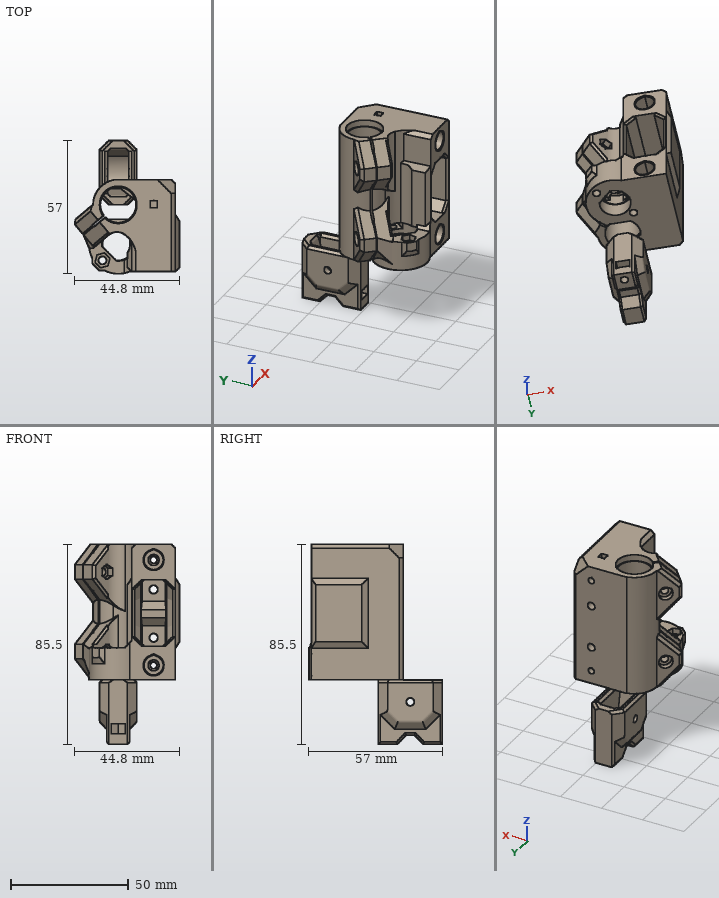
import cadquery as cq
import math

HEIGHT = 58.0
EPS = 0.5
FAR = 100.0

BEARING_OUTER_R = 10.8
BORE_R = 7.6
BORE_LIP_R = 8.0
BORE_LIP_DEPTH = 3.0
LEDGE_DISTANCE = 6.1
LEDGE_HEIGHT = 1.5
LEDGE_ANGLES = (-90.0, 52.0)

BLOCK_CENTRE_X = 15.1
BLOCK_HALF_WIDTH = 9.35
BLOCK_LEFT = BLOCK_CENTRE_X - BLOCK_HALF_WIDTH
BLOCK_RIGHT = BLOCK_CENTRE_X + BLOCK_HALF_WIDTH
BLOCK_FRONT = -28.5
BLOCK_BACK = BEARING_OUTER_R
BLOCK_CHAMFER = 1.8
BACK_CORNER_SUM = 27.5 + HEIGHT

PAD_THICKNESS = 1.8
PAD_BACK = -4.2
PAD_BACK_RUN = 2.85
PAD_BOTTOM = 13.6
PAD_TOP = 43.4
PAD_SLOPE_RUN = 2.75

SCREW_Y = -17.0
RING_R = 12.5
RING_HEIGHT = 13.65
NUT_LOWER_R = 13.4 / 2
NUT_UPPER_R = 14.0 / 2
NUT_STEP_Z = 7.65
NUT_FLAT_DISTANCE = 5.4
NUT_BOLT_RADIUS = 9.5
FRONT_BOLT_ANGLE = 225.0
BOLT_D = 3.3
NUT_TRAP_FLATS = 5.7
NUT_TRAP_FLOOR = 11.0
NUT_SLOT_FLOOR = 9.8
NUT_SLOT_WIDTH = 6.4
WALL_R = 12.0
WALL_X = -4.25
WALL_Y = -22.4
WEB_LEFT = -2.1
CHANNEL_R = 5.55
CHANNEL_X = -0.6
CHANNEL_Y = -17.2
CHANNEL_SIDE_X = CHANNEL_X + CHANNEL_R
GUSSET_X = 2.65

BOSS_REACH = 11.13
BOSS_CORNER = 3.1
BOSS_TIP_R = 13.75
BOSS_BOTTOM = 6.8
BOSS_CONE_TOP = 9.9

SLIT_ANGLE = 220.0
SLIT_INNER = 1.0
SLIT_OUTER = 0.5
SLIT_STEP = 14.0
EAR_LENGTH = 19.6
EAR_BACK_Y = -7.0
EAR_FRONT_Y = 7.25
EAR_END_HALF = 3.1
EAR_PITCH = 34.0
EAR_LOW_Z = 12.1
EAR_HIGH_Z = EAR_LOW_Z + EAR_PITCH
EAR_BACK_CHAMFER = 1.5
EAR_FRONT_CHAMFER = 1.0
EAR_BOLT_X = 12.3
EAR_HEAD_D = 6.2
EAR_HEAD_DEPTH = 2.6
EAR_NUT_CORNERS = 6.4
EAR_NUT_FLOOR = 4.4
HIGH_ROOT_END_X = 3.04
LOW_ROOT_END_X = 0.0
EAR_FLANK_DROP = 1.35
EAR_FLANK_REACH = 2.2
EAR_FLANK_END = (-12.36, -18.7)

ROD_Z = (6.2, 51.2)
ROD_R = 4.1
ROD_RIM_R = 4.45
ROD_RIM_DEPTH = 0.4
ROD_END_Y = 4.0
ROD_ROOF_ANGLE = 66.0
VENT_R = 1.4
VENT_CONE_R = 2.35
VENT_CONE_DEPTH = 1.0
PEEP_SIZE = 3.0
PEEP_Y = 0.3

WINDOW_Z = 28.6
WINDOW_HALF_HEIGHT = 14.2
WINDOW_SIDE_HALF = 10.2
WINDOW_HALF_WIDTH = 8.1
WINDOW_TOP_HALF = 3.95
WINDOW_RIM = 1.05
WINDOW_TAPER_Y = -7.0
WINDOW_TAPER_END = -4.0
WINDOW_FLOOR_Y = 2.0
WINDOW_SLOT_HALF = 5.55
WINDOW_FLOOR_HALF = 4.9
WINDOW_MID_HALF = 5.2
WINDOW_MID_GROWTH = 1.1
WINDOW_LEAN = 0.35
RIDGE_Z = 28.3
RIDGE_HALF = 5.2
RIDGE_FLAT_HALF = 1.7
WINDOW_HOLE_R = 1.75
WINDOW_HOLE_OFFSET = 10.3

SHOE_SIZE = 27.5
SHOE_HALF_WIDTH = 8.0
SHOE_MID_Y = SHOE_SIZE / 2
STEM_HALF_WIDTH = 4.95
SHOE_CORNER = 4.05
SHOE_EDGE = STEM_HALF_WIDTH - SHOE_HALF_WIDTH + SHOE_CORNER
SHOE_TOP_EDGE = 1.2
CHEEK_BOTTOM = -21.07
CHEEK_INSET = 3.2
CHEEK_SLANT = 7.15
CHEEK_FILLET = 1.7
POCKET_HALF_WIDTH = 4.5
POCKET_R = 10.35
POCKET_LIP_HALF = 9.75
POCKET_FLOOR_HALF = 6.9
POCKET_RIM = 1.25
AXLE_Z = -9.4
NOTCH_HALF_BOTTOM = 5.55
NOTCH_HALF_TOP = 1.75
NOTCH_TOP = -23.65
SHOE_NUT_FLATS = 6.0
SHOE_NUT_TOP = -18.75
SHOE_NUT_BOTTOM = -22.95
SHOE_NUT_Y = 3.5


def box(x0, x1, y0, y1, z0, z1):
    return cq.Workplane("XY").box(x1 - x0, y1 - y0, z1 - z0, centered=False).translate((x0, y0, z0))


def cylinder(x, y, radius, z0, z1):
    return cq.Workplane("XY", origin=(x, y, z0)).circle(radius).extrude(z1 - z0)


def plan_prism(points, z0, z1):
    return cq.Workplane("XY", origin=(0, 0, z0)).polyline(points).close().extrude(z1 - z0)


def side_prism(points, x0, x1):
    """Outline in (y, z) extruded along X."""
    return cq.Workplane("YZ", origin=(x0, 0, 0)).polyline(points).close().extrude(x1 - x0)


def front_prism(points, y0, y1):
    """Outline in (x, z) extruded along Y."""
    return cq.Workplane("XZ", origin=(0, y0, 0)).polyline(points).close().extrude(y0 - y1)


def y_cylinder(x, z, radius, y0, y1):
    return cq.Workplane("XZ", origin=(x, y0, z)).circle(radius).extrude(y0 - y1)


def y_cone(x, z, radius0, radius1, y0, y1):
    sections = cq.Workplane("XZ", origin=(x, y0, z)).circle(radius0)
    return sections.workplane(offset=y0 - y1).circle(radius1).loft(ruled=True)


def y_loft(points0, y0, points1, y1):
    """Ruled solid between two (x, z) outlines at y0 and y1."""
    sections = cq.Workplane("XZ", origin=(0, y0, 0)).polyline(points0).close()
    return sections.workplane(offset=y0 - y1).polyline(points1).close().loft(ruled=True)


def x_loft(points0, x0, points1, x1):
    """Ruled solid between two (y, z) outlines at x0 and x1."""
    sections = cq.Workplane("YZ", origin=(x0, 0, 0)).polyline(points0).close()
    return sections.workplane(offset=x1 - x0).polyline(points1).close().loft(ruled=True)


def turned(solid, angle):
    return solid.rotate((0, 0, 0), (0, 0, 1), angle)


def along_slit(solid):
    return turned(solid, SLIT_ANGLE)


def mirrored_outline(half_points):
    """Outline from the points on its +x, +z quarter, mirrored about both axes of the window."""
    right = half_points + [(x, -z) for x, z in reversed(half_points)]
    left = [(-x, z) for x, z in reversed(right)]
    return [(BLOCK_CENTRE_X + x, WINDOW_Z + z) for x, z in right + left]


def screw_channel():
    """Clearance for the lead screw: a round channel with a straight right side."""
    top = HEIGHT + EPS
    side = box(HIGH_ROOT_END_X, CHANNEL_SIDE_X, CHANNEL_Y, WALL_Y + WALL_R, RING_HEIGHT, top)
    return cylinder(CHANNEL_X, CHANNEL_Y, CHANNEL_R, RING_HEIGHT, top).union(side)


def rod_block():
    """Block with bevelled top edges and a cut-off back corner."""
    block = box(BLOCK_LEFT, BLOCK_RIGHT, BLOCK_FRONT, BLOCK_BACK, 0, HEIGHT)
    return cut_back_corner(block.faces(">Z").edges("|Y").chamfer(BLOCK_CHAMFER))


def cut_back_corner(body):
    """Bevels the upright back corner and slices off its top."""
    body = body.edges(cq.selectors.NearestToPointSelector((BLOCK_RIGHT, BLOCK_BACK, HEIGHT / 2)))
    body = body.chamfer(BLOCK_CHAMFER)
    centre = BACK_CORNER_SUM / 3
    plane = cq.Plane(origin=(centre, centre, centre), xDir=(1, -1, 0), normal=(1, 1, 1))
    return body.cut(cq.Workplane(plane).rect(2 * FAR, 2 * FAR).extrude(FAR))


def side_pads():
    """Tapered pads; the left one stands on the nut ring and is cut free of the lead screw."""
    def pad(direction, bottom_run):
        outline = [
            (BLOCK_FRONT, PAD_BOTTOM), (PAD_BACK, PAD_BOTTOM),
            (PAD_BACK, PAD_TOP), (BLOCK_FRONT, PAD_TOP),
        ]
        front = BLOCK_FRONT + PAD_THICKNESS
        back = PAD_BACK - PAD_BACK_RUN
        low = PAD_BOTTOM + bottom_run
        high = PAD_TOP - PAD_SLOPE_RUN
        crown = [(front, low), (back, low), (back, high), (front, high)]
        face_x = BLOCK_CENTRE_X + direction * BLOCK_HALF_WIDTH
        return x_loft(outline, face_x, crown, face_x + direction * PAD_THICKNESS)

    return pad(1, PAD_SLOPE_RUN).union(pad(-1, 0).cut(screw_channel()))


def web():
    """Material between bearing and block, hollowed behind the lead screw."""
    slab = box(WEB_LEFT, WALL_X + WALL_R + EPS, WALL_Y, BLOCK_BACK, 0, HEIGHT)
    return slab.cut(cylinder(WALL_X, WALL_Y, WALL_R, RING_HEIGHT, HEIGHT + EPS))


def nut_ring():
    """Ring around the nut, joined flush to the block front, with a 45 degree gusset up to the block."""
    footprint = cylinder(0, SCREW_Y, RING_R, 0, HEIGHT)
    footprint = footprint.union(box(0, BLOCK_LEFT, BLOCK_FRONT, SCREW_Y, 0, HEIGHT))
    ring = footprint.intersect(box(-FAR, FAR, -FAR, FAR, 0, RING_HEIGHT))
    rise = BLOCK_LEFT - GUSSET_X
    gusset = front_prism(
        [(GUSSET_X, RING_HEIGHT), (BLOCK_LEFT, RING_HEIGHT), (BLOCK_LEFT, RING_HEIGHT + rise)],
        SCREW_Y - RING_R, SCREW_Y,
    )
    gusset = gusset.intersect(footprint).cut(cylinder(0, SCREW_Y, NUT_UPPER_R, 0, HEIGHT))
    return ring.union(gusset).union(trap_boss())


def trap_boss():
    """Square boss with a bevelled corner; its underside is a cone that grows out of the ring."""
    inner = BOSS_REACH - BOSS_CORNER
    outline = [(0, 0), (-BOSS_REACH, 0), (-BOSS_REACH, -inner), (-inner, -BOSS_REACH), (0, -BOSS_REACH)]
    boss = plan_prism(outline, BOSS_BOTTOM, RING_HEIGHT)
    envelope = cq.Workplane("XZ").polyline([
        (0, BOSS_BOTTOM), (RING_R, BOSS_BOTTOM), (BOSS_TIP_R, BOSS_CONE_TOP),
        (BOSS_TIP_R, RING_HEIGHT), (0, RING_HEIGHT),
    ]).close().revolve(360, (0, 0, 0), (0, 1, 0))
    return boss.intersect(envelope).translate((0, SCREW_Y, 0))


def ear_outline(centre_z, inset=0.0):
    """Ear outline in local (x, z): a blunt end with 45 degree flanks, optionally set inwards."""
    tip = EAR_LENGTH - inset
    half = EAR_END_HALF - inset * (math.sqrt(2) - 1)
    return [
        (0, centre_z - half - tip), (tip, centre_z - half),
        (tip, centre_z + half), (0, centre_z + half + tip),
    ]


def ear_block(centre_z):
    """Ear with bevelled rims on its back and front faces."""
    back_flat = EAR_BACK_Y + EAR_BACK_CHAMFER
    front_flat = EAR_FRONT_Y - EAR_FRONT_CHAMFER
    full = ear_outline(centre_z)
    ear = front_prism(full, back_flat, front_flat)
    ear = ear.union(y_loft(full, back_flat, ear_outline(centre_z, EAR_BACK_CHAMFER), EAR_BACK_Y))
    return ear.union(y_loft(full, front_flat, ear_outline(centre_z, EAR_FRONT_CHAMFER), EAR_FRONT_Y))


def ear_root(centre_z, end_x):
    """Fills the corner between the ear and the hollow wall, as far as the lead-screw channel."""
    angle = math.radians(SLIT_ANGLE)
    tangent_x = CHANNEL_X * math.cos(angle) + CHANNEL_Y * math.sin(angle)
    wall_y = EAR_FRONT_Y + CHANNEL_R
    root = front_prism(ear_outline(centre_z), 0, wall_y)
    root = root.intersect(box(0, tangent_x, 0, wall_y, -FAR, FAR))
    return along_slit(root).intersect(box(-FAR, end_x, -FAR, 0, 0, HEIGHT))


def lower_ear_flank():
    """Flank that joins the lower ear to the nut ring, sloped underneath."""
    half_slit = SLIT_OUTER / 2
    low = EAR_LOW_Z - EAR_END_HALF
    high = EAR_LOW_Z + EAR_END_HALF
    reach = EAR_LENGTH + EAR_FLANK_REACH
    drop = EAR_FLANK_DROP * (EAR_FRONT_Y - half_slit)

    def section(fall):
        return [
            (0, low - EAR_LENGTH - fall), (reach, low + EAR_FLANK_REACH - fall),
            (reach, high - EAR_FLANK_REACH), (EAR_LENGTH, high), (0, high),
        ]

    body = along_slit(y_loft(section(0), half_slit, section(drop), EAR_FRONT_Y))
    angle = math.radians(SLIT_ANGLE)
    tip = (
        EAR_LENGTH * math.cos(angle) - half_slit * math.sin(angle),
        EAR_LENGTH * math.sin(angle) + half_slit * math.cos(angle),
    )
    inside = plan_prism([(0, 0), tip, EAR_FLANK_END, (0, SCREW_Y)], 0, HEIGHT)
    return body.intersect(inside)


def clamp_ears():
    within = box(-FAR, FAR, -FAR, FAR, 0, HEIGHT)
    high = along_slit(ear_block(EAR_HIGH_Z)).union(ear_root(EAR_HIGH_Z, HIGH_ROOT_END_X))
    low = along_slit(ear_block(EAR_LOW_Z)).union(ear_root(EAR_LOW_Z, LOW_ROOT_END_X))
    return high.union(low).intersect(within).cut(screw_channel()).union(lower_ear_flank())


def clamp_bolt(centre_z):
    """Bolt hole through an ear with a round head recess behind and a hexagonal nut trap in front."""
    def across(diameter, y0, y1):
        return y_cylinder(EAR_BOLT_X, centre_z, diameter / 2, y0, y1)

    hole = across(BOLT_D, EAR_BACK_Y, EAR_FRONT_Y)
    head = across(EAR_HEAD_D, 2 * EAR_BACK_Y, EAR_BACK_Y + EAR_HEAD_DEPTH)
    nut = cq.Workplane("XZ", origin=(EAR_BOLT_X, EAR_NUT_FLOOR, centre_z))
    nut = nut.transformed(rotate=(0, 0, 90)).polygon(6, EAR_NUT_CORNERS)
    nut = nut.extrude(EAR_NUT_FLOOR - 2 * EAR_FRONT_Y)
    return along_slit(hole.union(head).union(nut))


def slit():
    inner = box(0, SLIT_STEP, -SLIT_INNER / 2, SLIT_INNER / 2, -EPS, HEIGHT + EPS)
    outer = box(SLIT_STEP, EAR_LENGTH + EPS, -SLIT_OUTER / 2, SLIT_OUTER / 2, -EPS, HEIGHT + EPS)
    return along_slit(inner.union(outer))


def bearing_bore():
    bore = cylinder(0, 0, BORE_R, -EPS, HEIGHT + EPS)
    lip = cylinder(0, 0, BORE_LIP_R, HEIGHT - BORE_LIP_DEPTH, HEIGHT + EPS)
    for angle in LEDGE_ANGLES:
        ledge = turned(box(LEDGE_DISTANCE, FAR, -FAR, FAR, -EPS, LEDGE_HEIGHT), angle)
        bore = bore.cut(ledge)
    return bore.union(lip)


def nut_seat():
    """Stepped bore for the lead-screw nut, with a flat in front of the front nut trap."""
    lower = cylinder(0, 0, NUT_LOWER_R, -EPS, RING_HEIGHT)
    upper = cylinder(0, 0, NUT_UPPER_R, NUT_STEP_Z, RING_HEIGHT)
    flat = turned(box(NUT_FLAT_DISTANCE, FAR, -FAR, FAR, -EPS, HEIGHT), FRONT_BOLT_ANGLE)
    return lower.union(upper).cut(flat).translate((0, SCREW_Y, 0))


def nut_bolts():
    """Two diagonal nut bolts: an open hexagonal trap in front, a slot from the bore at the back."""
    corners = NUT_TRAP_FLATS / math.cos(math.pi / 6)
    hole = cylinder(NUT_BOLT_RADIUS, 0, BOLT_D / 2, -EPS, RING_HEIGHT + EPS)
    trap = cq.Workplane("XY", origin=(NUT_BOLT_RADIUS, 0, NUT_TRAP_FLOOR)).transformed(rotate=(0, 0, 30))
    trap = trap.polygon(6, corners).extrude(RING_HEIGHT + EPS - NUT_TRAP_FLOOR)
    half_slot = NUT_SLOT_WIDTH / 2
    slot_end = NUT_BOLT_RADIUS + NUT_TRAP_FLATS / 2
    slot = box(NUT_FLAT_DISTANCE, slot_end, -half_slot, half_slot, NUT_SLOT_FLOOR, RING_HEIGHT)
    front = turned(hole.union(trap), FRONT_BOLT_ANGLE)
    back = turned(hole.union(slot), FRONT_BOLT_ANGLE - 180)
    return front.union(back).translate((0, SCREW_Y, 0))


def rod_hole(z):
    """Blind rod hole with a peaked roof and a coned vent to the back face."""
    roof = math.radians(ROD_ROOF_ANGLE)

    def peaked(radius, y0, y1):
        side = radius * math.cos(roof)
        shoulder = radius * math.sin(roof)
        peak = radius / math.sin(roof)
        points = [(0, 0), (side, shoulder), (0, peak), (-side, shoulder)]
        placed = [(BLOCK_CENTRE_X + px, z + pz) for px, pz in points]
        return y_cylinder(BLOCK_CENTRE_X, z, radius, y0, y1).union(front_prism(placed, y0, y1))

    hole = peaked(ROD_R, BLOCK_FRONT - EPS, ROD_END_Y)
    rim = peaked(ROD_RIM_R, BLOCK_FRONT - EPS, BLOCK_FRONT + ROD_RIM_DEPTH)
    cone = y_cone(BLOCK_CENTRE_X, z, VENT_CONE_R, VENT_R, ROD_END_Y, ROD_END_Y + VENT_CONE_DEPTH)
    vent = peaked(VENT_R, ROD_END_Y, BLOCK_BACK + EPS)
    return hole.union(rim).union(cone).union(vent)


def rod_peep_hole():
    half = PEEP_SIZE / 2
    return box(BLOCK_CENTRE_X - half, BLOCK_CENTRE_X + half, PEEP_Y - half, PEEP_Y + half,
               max(ROD_Z), HEIGHT + EPS)


def window_outline(grow):
    return mirrored_outline([
        (WINDOW_TOP_HALF + grow, WINDOW_HALF_HEIGHT),
        (WINDOW_HALF_WIDTH + grow, WINDOW_SIDE_HALF),
    ])


def window_taper_section(y):
    """Section of the tapering side panels: a middle panel with leaning panels above and below."""
    progress = (y - WINDOW_TAPER_Y) / (WINDOW_TAPER_END - WINDOW_TAPER_Y)
    middle_x = WINDOW_HALF_WIDTH - progress * (WINDOW_HALF_WIDTH - WINDOW_SLOT_HALF)
    middle_z = WINDOW_MID_HALF + progress * WINDOW_MID_GROWTH
    top_x = middle_x - WINDOW_LEAN * (WINDOW_HALF_HEIGHT - middle_z)
    return mirrored_outline([(top_x, WINDOW_HALF_HEIGHT), (middle_x, middle_z)])


def slot_section(half_width):
    return mirrored_outline([(half_width, WINDOW_HALF_HEIGHT)])


def belt_window():
    """Octagonal window that narrows to a slot, with a ridge across its floor and two holes to the back."""
    panels = y_loft(window_taper_section(BLOCK_FRONT), BLOCK_FRONT,
                    window_taper_section(WINDOW_TAPER_END), WINDOW_TAPER_END)
    mouth = front_prism(slot_section(WINDOW_SLOT_HALF), BLOCK_FRONT, WINDOW_TAPER_END)
    throat = y_loft(slot_section(WINDOW_SLOT_HALF), WINDOW_TAPER_END,
                    slot_section(WINDOW_FLOOR_HALF), WINDOW_FLOOR_Y)
    window = front_prism(window_outline(0), BLOCK_FRONT, WINDOW_FLOOR_Y)
    window = window.intersect(panels.union(mouth).union(throat))
    rim = y_loft(window_outline(WINDOW_RIM), BLOCK_FRONT, window_outline(0), BLOCK_FRONT + WINDOW_RIM)
    ridge_height = RIDGE_HALF - RIDGE_FLAT_HALF
    ridge = side_prism(
        [
            (WINDOW_FLOOR_Y, RIDGE_Z - RIDGE_HALF),
            (WINDOW_FLOOR_Y - ridge_height, RIDGE_Z - RIDGE_FLAT_HALF),
            (WINDOW_FLOOR_Y - ridge_height, RIDGE_Z + RIDGE_FLAT_HALF),
            (WINDOW_FLOOR_Y, RIDGE_Z + RIDGE_HALF),
        ],
        BLOCK_LEFT, BLOCK_RIGHT,
    )
    window = window.union(rim).cut(ridge)
    for offset in (-WINDOW_HOLE_OFFSET, WINDOW_HOLE_OFFSET):
        hole_z = RIDGE_Z + offset
        window = window.union(
            y_cylinder(BLOCK_CENTRE_X, hole_z, WINDOW_HOLE_R, BLOCK_FRONT, BLOCK_BACK + EPS))
    return window


def build_carriage_end():
    body = cylinder(0, 0, BEARING_OUTER_R, 0, HEIGHT).union(web())
    body = body.union(clamp_ears())
    body = body.union(rod_block()).union(side_pads()).union(nut_ring())
    body = body.cut(bearing_bore()).cut(nut_seat()).cut(nut_bolts()).cut(slit())
    for ear_z in (EAR_LOW_Z, EAR_HIGH_Z):
        body = body.cut(clamp_bolt(ear_z))
    for rod_z in ROD_Z:
        body = body.cut(rod_hole(rod_z))
    return body.cut(rod_peep_hole()).cut(belt_window())


def shoe_stem():
    """Narrow core with a notch in its foot and bevelled outlines."""
    stem = box(-STEM_HALF_WIDTH, STEM_HALF_WIDTH, 0, SHOE_SIZE, -SHOE_SIZE, -SHOE_CORNER)
    stem = stem.cut(side_prism(
        [
            (SHOE_MID_Y - NOTCH_HALF_BOTTOM, -SHOE_SIZE), (SHOE_MID_Y - NOTCH_HALF_TOP, NOTCH_TOP),
            (SHOE_MID_Y + NOTCH_HALF_TOP, NOTCH_TOP), (SHOE_MID_Y + NOTCH_HALF_BOTTOM, -SHOE_SIZE),
        ],
        -FAR, FAR,
    ))
    return stem.faces("<X or >X").edges("not >Z").chamfer(SHOE_EDGE)


def shoe_cheeks():
    """Wide upper part: octagonal cheeks whose undersides slope in to the stem."""
    def outline(inset):
        bottom = CHEEK_BOTTOM + inset
        slant_end = CHEEK_SLANT + inset * (math.sqrt(2) - 1)
        side_z = bottom + slant_end
        return [
            (0, 0), (0, side_z), (slant_end, bottom),
            (SHOE_SIZE - slant_end, bottom), (SHOE_SIZE, side_z), (SHOE_SIZE, 0),
        ]

    core = side_prism(outline(0), -STEM_HALF_WIDTH, STEM_HALF_WIDTH)
    for side in (-1, 1):
        core = core.union(x_loft(outline(0), side * STEM_HALF_WIDTH,
                                 outline(CHEEK_INSET), side * SHOE_HALF_WIDTH))
    core = core.faces("<X or >X").edges("not (|Z or >Z)").fillet(CHEEK_FILLET)
    inner = SHOE_HALF_WIDTH - SHOE_CORNER
    octagon = [
        (inner, 0), (SHOE_HALF_WIDTH, SHOE_CORNER),
        (SHOE_HALF_WIDTH, SHOE_SIZE - SHOE_CORNER), (inner, SHOE_SIZE),
    ]
    octagon = octagon + [(-x, y) for x, y in reversed(octagon)]
    envelope = plan_prism(octagon, -SHOE_SIZE, 0)
    return core.intersect(envelope)


def shoe_pocket():
    """Idler pocket: leaning end walls, bevelled long rims and a round floor about the axle."""
    floor_edge_z = AXLE_Z - math.sqrt(POCKET_R ** 2 - POCKET_FLOOR_HALF ** 2)
    pocket = (
        cq.Workplane("YZ", origin=(-POCKET_HALF_WIDTH, SHOE_MID_Y, 0))
        .moveTo(-POCKET_R, 0)
        .lineTo(-POCKET_LIP_HALF, -POCKET_RIM)
        .lineTo(-POCKET_FLOOR_HALF, floor_edge_z)
        .threePointArc((0, AXLE_Z - POCKET_R), (POCKET_FLOOR_HALF, floor_edge_z))
        .lineTo(POCKET_LIP_HALF, -POCKET_RIM)
        .lineTo(POCKET_R, 0)
        .close()
        .extrude(2 * POCKET_HALF_WIDTH)
    )
    corners = box(-POCKET_HALF_WIDTH, POCKET_HALF_WIDTH, SHOE_MID_Y - POCKET_R,
                  SHOE_MID_Y + POCKET_R, -SHOE_SIZE, 0)
    pocket = pocket.intersect(corners.edges("|Z").chamfer(POCKET_RIM))
    rim_half = POCKET_HALF_WIDTH + POCKET_RIM
    rim_end = POCKET_R - POCKET_RIM
    rim = front_prism(
        [(-rim_half, 0), (rim_half, 0), (POCKET_HALF_WIDTH, -POCKET_RIM), (-POCKET_HALF_WIDTH, -POCKET_RIM)],
        SHOE_MID_Y - rim_end, SHOE_MID_Y + rim_end,
    )
    return pocket.union(rim)


def shoe_nut_trap():
    """Hexagonal nut trap open to the front face, with its bolt hole coming up from the foot."""
    half = SHOE_NUT_FLATS / 2
    shoulder_y = SHOE_NUT_Y + half * math.tan(math.pi / 6)
    tip_y = SHOE_NUT_Y + half / math.cos(math.pi / 6)
    outline = [(-half, 0), (half, 0), (half, shoulder_y), (0, tip_y), (-half, shoulder_y)]
    trap = plan_prism(outline, SHOE_NUT_BOTTOM, SHOE_NUT_TOP)
    return trap.union(cylinder(0, SHOE_NUT_Y, BOLT_D / 2, -SHOE_SIZE, SHOE_NUT_TOP))


def build_idler_shoe():
    shoe = shoe_cheeks().faces(">Z").edges("not |X").chamfer(SHOE_TOP_EDGE).union(shoe_stem())
    axle = cq.Workplane("YZ", origin=(-FAR, SHOE_MID_Y, AXLE_Z)).circle(BOLT_D / 2).extrude(2 * FAR)
    return shoe.cut(shoe_pocket()).cut(axle).cut(shoe_nut_trap())


carriage_end = build_carriage_end()
idler_shoe = build_idler_shoe()

result = cq.Compound.makeCompound([carriage_end.val(), idler_shoe.val()])